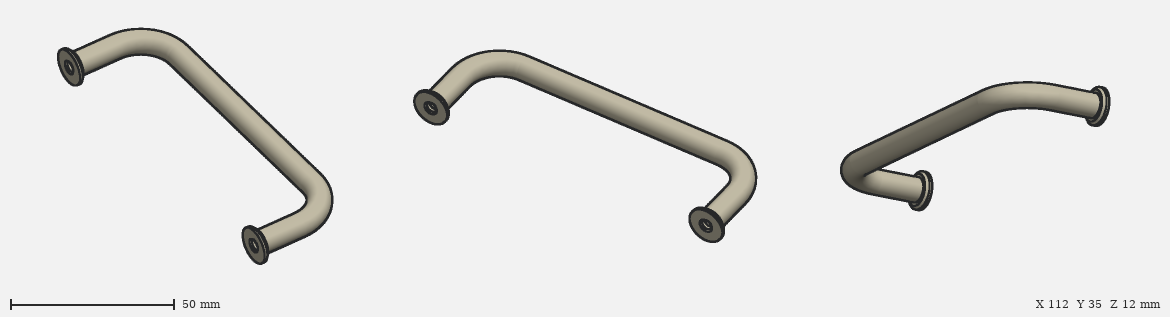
import cadquery as cq

overall_length = 112.0
overall_height = 35.0
washer_diameter = 12.0
leg_spacing = overall_length - washer_diameter

rod_diameter = 8.0
bend_radius = 14.0

washer_thickness = 2.0
washer_chamfer = 1.0

screw_hole_diameter = 3.4
screw_hole_depth = 10.0
drill_tip_depth = 1.0
countersink_diameter = 4.5

half_spacing = leg_spacing / 2
grip_y = overall_height - rod_diameter / 2
leg_positions = (-half_spacing, half_spacing)


def make_screw_hole(x):
    """Cutter for the part of a screw hole inside a leg, revolved about the leg axis."""
    radius = screw_hole_diameter / 2
    shoulder_y = washer_thickness + screw_hole_depth
    return (
        cq.Workplane("XY", origin=(x, 0, 0))
        .moveTo(0, washer_thickness)
        .lineTo(radius, washer_thickness)
        .lineTo(radius, shoulder_y)
        .lineTo(0, shoulder_y + drill_tip_depth)
        .close()
        .revolve(360, (0, 0), (0, 1))
    )


def make_handle():
    """Round rod bent into a U, with a screw hole in each leg end."""
    bend_start_y = grip_y - bend_radius
    grip_end_x = half_spacing - bend_radius
    path = (
        cq.Workplane("XY")
        .moveTo(-half_spacing, washer_thickness)
        .lineTo(-half_spacing, bend_start_y)
        .tangentArcPoint((-grip_end_x, grip_y), relative=False)
        .lineTo(grip_end_x, grip_y)
        .tangentArcPoint((half_spacing, bend_start_y), relative=False)
        .lineTo(half_spacing, washer_thickness)
    )
    handle = (
        cq.Workplane("XZ", origin=(-half_spacing, washer_thickness, 0))
        .circle(rod_diameter / 2)
        .sweep(path)
    )
    for x in leg_positions:
        handle = handle.cut(make_screw_hole(x))
    return handle


def make_washer(x):
    """Washer with its rim chamfered toward the rod and its bore countersunk at the free face."""
    return (
        cq.Workplane("XZ", origin=(x, 0, 0))
        .circle(washer_diameter / 2)
        .extrude(-washer_thickness)
        .faces(">Y")
        .chamfer(washer_chamfer)
        .faces("<Y")
        .workplane(origin=(x, 0, 0))
        .cskHole(screw_hole_diameter, countersink_diameter, 90)
    )


handle = make_handle()
washers = [make_washer(x) for x in leg_positions]

result = cq.Compound.makeCompound([handle.val(), *[washer.val() for washer in washers]])